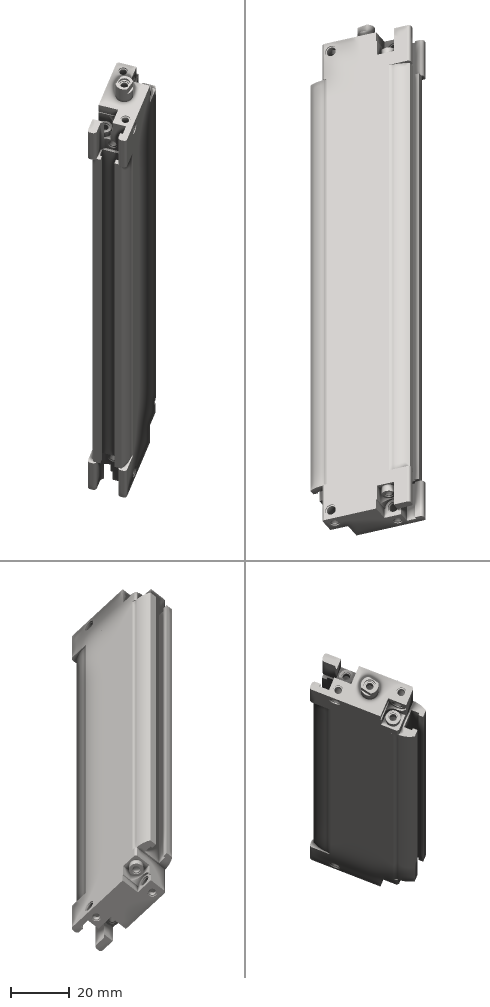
import cadquery as cq
import math

total_height = 194.0
width = 14.0
cap_height = 14.0
stud_height = 6.5
housing_height = total_height - stud_height - 2 * cap_height
cap_top = cap_height + housing_height + cap_height

housing_reach = 18.6
slot_floor = 14.0
slot_half_width = 3.3
lip_half_gap = 2.5
lip_inner_y = 16.9
bevel_start_y = 11.6
bevel_end_y = 12.8
bevel_depth = 0.4
bulge_half_width = 6.2
bulge_y = 16.0
tip_half_width = 5.0

cap_front = -19.4
cap_back = 13.4
cap_edge_round = 1.0
cap_back_chamfer = 0.5
channel_floor = -13.0
channel_half_width = 3.9
channel_chamfer = 1.4
undercut_half_width = 4.8
undercut_end = -16.5
tip_round = 1.2

screw_x = 3.7
screw_y = 10.0
cross_hole_depth = 3.5
cross_hole_d = 3.3
cross_hole_rim_d = 4.0
cross_hole_rim_depth = 0.4
pocket_near_y = 6.8
seat_bore_d = 6.0
seat_depth = 9.0
boss_d = 5.0
thread_d = 2.5
thread_rim_d = 3.3
thread_rim_depth = 0.4
thread_depth = 3.0
port_depth = 11.3
drill_point_angle = 118

stud_turn = -12
stud_d = 6.0
stud_flat_x = 2.3
stud_flat_height = 2.5
stud_recess_d = 4.0
stud_recess_depth = 1.0


def box(x0, x1, y0, y1, z0, z1):
    return cq.Workplane("XY").box(x1 - x0, y1 - y0, z1 - z0, centered=False).translate((x0, y0, z0))


def blind_hole():
    """Hole going down from the origin, with a short wider rim and a drill point."""
    radius = thread_d / 2
    rim = thread_rim_d / 2
    point = radius / math.tan(math.radians(drill_point_angle / 2))
    return (
        cq.Workplane("XZ")
        .polyline([
            (0, 0),
            (rim, 0),
            (rim, -thread_rim_depth),
            (radius, -thread_rim_depth),
            (radius, -thread_depth),
            (0, -thread_depth - point),
        ])
        .close()
        .revolve(360, (0, 0), (0, 1))
    )


def make_housing():
    """One quarter of the profile, mirrored about both axes and extruded."""
    half_width = width / 2
    quarter = (
        cq.Workplane("XY")
        .workplane(offset=cap_height)
        .lineTo(half_width, 0)
        .lineTo(half_width, bevel_start_y)
        .lineTo(half_width - bevel_depth, bevel_end_y)
        .threePointArc((bulge_half_width, bulge_y), (tip_half_width, housing_reach))
        .lineTo(lip_half_gap, housing_reach)
        .lineTo(lip_half_gap, lip_inner_y)
        .lineTo(slot_half_width, lip_inner_y)
        .lineTo(slot_half_width, slot_floor)
        .lineTo(0, slot_floor)
        .close()
        .extrude(housing_height)
    )
    half = quarter.union(quarter.mirror("YZ"))
    return half.union(half.mirror("XZ")).clean()


def cap_blank():
    """Cap block with rounded front edges, standing on Z = 0."""
    return (
        box(-width / 2, width / 2, cap_front, cap_back, 0, cap_height)
        .edges("|Z and <Y").fillet(cap_edge_round)
        .edges("|Z and >Y").chamfer(cap_back_chamfer)
    )


def cap_channel():
    """Channel in the front of the cap: chamfered on the -X side, undercut on the +X side."""
    return (
        cq.Workplane("XY")
        .moveTo(-channel_half_width - tip_round, cap_front)
        .radiusArc((-channel_half_width, cap_front + tip_round), -tip_round)
        .lineTo(-channel_half_width, channel_floor - channel_chamfer)
        .lineTo(-channel_half_width + channel_chamfer, channel_floor)
        .lineTo(undercut_half_width, channel_floor)
        .lineTo(undercut_half_width, undercut_end)
        .lineTo(channel_half_width, undercut_end)
        .lineTo(channel_half_width, cap_front + tip_round)
        .radiusArc((channel_half_width + tip_round, cap_front), -tip_round)
        .close()
        .extrude(cap_height)
    )


def cross_hole():
    """Hole along X from the pocket wall to the opposite wide face, rimmed at both ends."""
    axis = cq.Workplane("YZ").center(-screw_y, cap_height - cross_hole_depth)
    hole = axis.circle(cross_hole_d / 2).extrude(width / 2)
    rim = axis.circle(cross_hole_rim_d / 2).extrude(cross_hole_rim_depth)
    far_rim = rim.translate((width / 2 - cross_hole_rim_depth, 0, 0))
    return hole.union(rim).union(far_rim)


def screw_boss():
    """Boss that rises from the seat floor to the bottom of the trough, and the hole down its middle."""
    boss_height = seat_depth - cross_hole_depth - seat_bore_d / 2
    boss = cq.Workplane("XY").circle(boss_d / 2).extrude(boss_height)
    return boss, blind_hole().translate((0, 0, boss_height))


def corner_pocket():
    """Space cut from the -X, -Y corner: a trough along X over a round seat around the boss."""
    side = -width / 2
    pocket_far_y = -cap_back
    trough_z = cap_height - cross_hole_depth
    seat_floor = cap_height - seat_depth
    seat_radius = seat_bore_d / 2
    seat_place = (-screw_x, -screw_y, seat_floor)

    upper = box(side, 0, pocket_far_y, -pocket_near_y, trough_z, cap_height)
    trough = cq.Workplane("YZ").center(-screw_y, trough_z).circle(seat_radius).extrude(side)
    seat = cq.Workplane("XY").circle(seat_radius).extrude(seat_depth).translate(seat_place)
    side_opening = box(side, -screw_x, -screw_y - seat_radius, -screw_y + seat_radius, seat_floor, trough_z)
    front_opening = box(side, -screw_x + seat_radius, pocket_far_y, -screw_y, seat_floor, trough_z)
    boss, boss_hole = screw_boss()

    space = upper.union(trough).union(seat).union(side_opening).union(front_opening)
    space = space.cut(boss.translate(seat_place))
    return space.union(boss_hole.translate(seat_place)).union(cross_hole())


def make_cap():
    """End cap with its inner face on Z = 0 and its outer end upward."""
    cap = cap_blank().cut(cap_channel())
    for turn in (0, 180):
        cap = cap.cut(corner_pocket().rotate((0, 0, 0), (0, 0, 1), turn))
        end_hole = blind_hole().translate((screw_x, -screw_y, cap_height))
        cap = cap.cut(end_hole.rotate((0, 0, 0), (0, 0, 1), turn))
    port = blind_hole().rotate((0, 0, 0), (1, 0, 0), 90)
    return cap.cut(port.translate((0, channel_floor, cap_height - port_depth)))


def make_stud():
    """Round stud with two flats at its end and a drilled, recessed end face."""
    flat_base = stud_height - stud_flat_height
    stud = cq.Workplane("XY").circle(stud_d / 2).extrude(stud_height)
    for x0, x1 in ((-stud_d, -stud_flat_x), (stud_flat_x, stud_d)):
        stud = stud.cut(box(x0, x1, -stud_d, stud_d, flat_base, stud_height))
    recess_floor = stud_height - stud_recess_depth
    recess = cq.Workplane("XY").circle(stud_recess_d / 2).extrude(stud_recess_depth)
    stud = stud.cut(recess.translate((0, 0, recess_floor)))
    stud = stud.cut(blind_hole().translate((0, 0, recess_floor)))
    return stud.rotate((0, 0, 0), (0, 0, 1), stud_turn)


housing = make_housing()
upper_cap = make_cap().translate((0, 0, cap_height + housing_height))
lower_cap = make_cap().mirror("XY").translate((0, 0, cap_height))
stud = make_stud().translate((0, 0, cap_top))

result = cq.Compound.makeCompound([housing.val(), upper_cap.val(), lower_cap.val(), stud.val()])